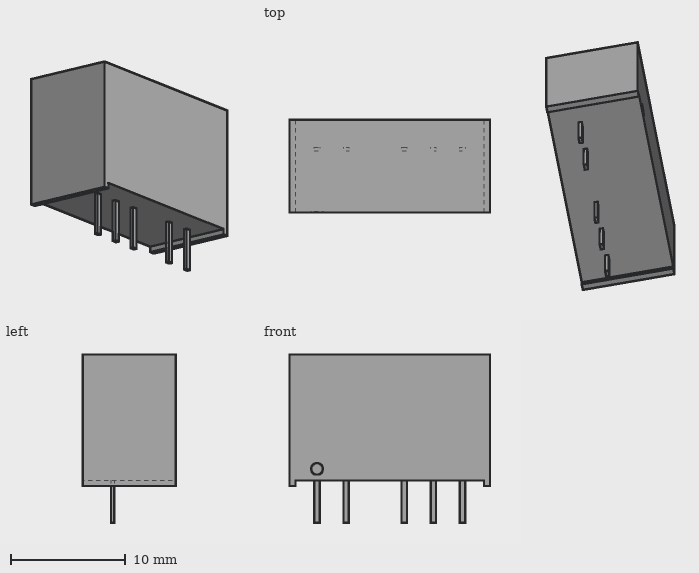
import cadquery as cq

length = 17.5
depth = 8.12
height = 11.5
foot_length = 0.55
foot_height = 0.49

pin_width = 0.49
pin_thickness = 0.3
pin_pitch = 2.54
pin_steps = [-2.5, -1.5, 0.5, 1.5, 2.5]
pin_to_back = 2.6
pin_y = depth - pin_to_back
pin_reach = 3.2
pin_length = pin_reach + foot_height

marker_radius = 0.5
marker_depth = 0.09
marker_x = pin_steps[0] * pin_pitch
marker_z = 1.5


def make_marker():
    """Disc sunk into the front face."""
    return (
        cq.Workplane("XZ", origin=(marker_x, 0, marker_z))
        .circle(marker_radius)
        .extrude(-marker_depth)
    )


def make_housing():
    """Block on two end feet, with a recess for the marker."""
    block = cq.Workplane("XY").box(length, depth, height, centered=(True, False, False))
    gap_length = length - 2 * foot_length
    gap = cq.Workplane("XY").box(gap_length, depth, foot_height, centered=(True, False, False))
    return block.cut(gap).cut(make_marker())


def make_pin(x):
    """Flat pin hanging from the underside of the housing."""
    return (
        cq.Workplane("XY", origin=(x, pin_y, foot_height))
        .rect(pin_width, pin_thickness)
        .extrude(-pin_length)
    )


housing = make_housing()
marker = make_marker()
pins = [make_pin(step * pin_pitch) for step in pin_steps]

result = cq.Compound.makeCompound([housing.val(), marker.val(), *[pin.val() for pin in pins]])